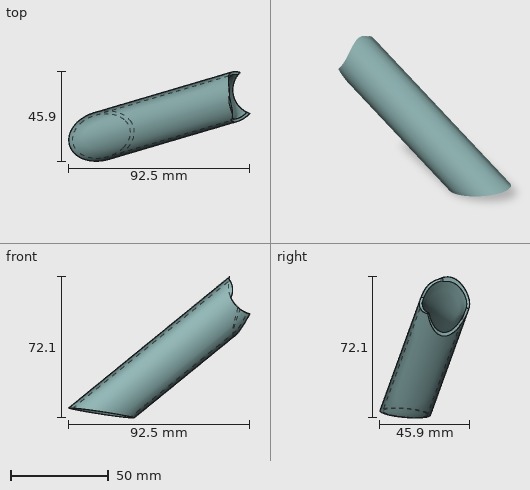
import cadquery as cq


tube_diameter = 25.1
wall = 1.5
tube_rise = 0.815
tube_drift = 0.295
foot_distance = 105.5

upright_diameter = 25.3
cross_tube_diameter = 30.05

groove_radius = 8.8
groove_x = -21.5
groove_z = -2.2
groove_inner_end = -4.2

foot_slope_x = -0.145
foot_slope_y = -0.055

stock_overrun = 55.5
cutter_length = 184.9

tube_axis = cq.Vector(1, tube_drift, tube_rise).normalized()


def rod(diameter, start, direction, length):
    return cq.Workplane(cq.Solid.makeCylinder(diameter / 2, length, start, direction))


def slanted_tube():
    """Straight round tube, longer than the part at both ends."""
    start = tube_axis * -(foot_distance + stock_overrun)
    length = foot_distance + 2 * stock_overrun
    outside = rod(tube_diameter, start, tube_axis, length)
    bore = rod(tube_diameter - 2 * wall, start, tube_axis, length)
    return outside.cut(bore)


def above_foot():
    """Block whose bottom face is the sloping foot plane."""
    foot_centre = tube_axis * -foot_distance
    normal = cq.Vector(-foot_slope_x, -foot_slope_y, 1)
    plane = cq.Plane(origin=foot_centre, normal=normal)
    return cq.Workplane(plane).rect(2 * cutter_length, 2 * cutter_length).extrude(cutter_length)


def upright():
    start = cq.Vector(0, 0, -cutter_length / 2)
    return rod(upright_diameter, start, cq.Vector(0, 0, 1), cutter_length)


def grooved_cross_tube():
    start = cq.Vector(0, -cutter_length / 2, 0)
    cross_tube = rod(cross_tube_diameter, start, cq.Vector(0, 1, 0), cutter_length)
    groove_start = cq.Vector(groove_x, groove_inner_end, groove_z)
    groove = rod(2 * groove_radius, groove_start, cq.Vector(0, -1, 0), cutter_length)
    return cross_tube.cut(groove)


trimmed = slanted_tube().intersect(above_foot())
mitred = trimmed.cut(upright()).cut(grooved_cross_tube())

result = cq.Workplane(mitred.solids("<X").val())